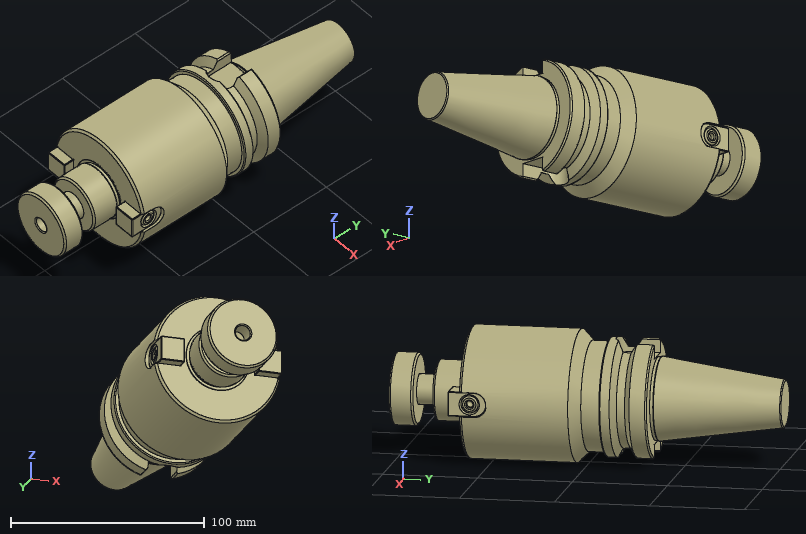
import cadquery as cq
import math


taper_end_radius = 12.7
taper_radius = 22.2
taper_at = 65.4
taper_relief_radius = 21.8
taper_relief_at = 65.8
taper_end_chamfer = 0.6

flange_radius = 31.5
flange_at = 67.5
flange_front_at = 92.5
groove_radius = 26.5
groove_at = 76.5
groove_floor_at = 79.8
groove_floor_end_at = 84.0
groove_end_at = 87.0
flange_chamfer = 0.8
flange_front_chamfer = 0.6

neck_radius = 29.0
neck_end_at = 102.4
body_radius = 35.0
body_at = 108.1
body_front_at = 165.5
body_chamfer = 1.2

pilot_radius = 16.0
pilot_front_at = 183.0
pilot_chamfer = 1.0
relief_radius = 15.5
relief_outer_radius = 17.3
relief_depth = 0.6
relief_length = 1.5

drive_slot_width = 15.8
drive_slot_floor = 22.6
drive_slot_end_at = 89.0
drive_slot_chamfer = 1.0

key_width = 13.0
key_inner = 20.1
key_outer = 33.0
key_back_at = 151.3
key_front_at = 171.6
key_chamfer = 0.5

key_screw_at = 160.3
key_screw_head_radius = 4.5
key_screw_head_chamfer = 1.0
key_screw_head_height = 5.0
key_screw_thread_radius = 2.5
key_screw_length = 10.0
key_screw_dimple_mouth_radius = 2.5
key_screw_dimple_radius = 1.8
key_screw_dimple_depth = 3.0
key_bore_mouth_radius = 5.3

arbor_screw_radius = 8.0
arbor_head_radius = 19.1
arbor_head_at = 192.8
arbor_head_front_at = 205.5
arbor_head_chamfer = 1.0
arbor_dimple_radius = 4.1
arbor_dimple_depth = 10.3
arbor_dimple_mouth_radius = 4.7

drill_tip_half_angle = math.radians(59)


def turned(profile):
    """Revolve (radius, distance from taper end) points about the tool axis."""
    points = [(radius, -at) for radius, at in profile]
    return cq.Workplane("XY").polyline(points).close().revolve(360, (0, 0), (0, 1))


def turned_across(profile):
    """Revolve (radius, X) points about the axis of the key screw on the +X side."""
    points = [(x, radius - key_screw_at) for radius, x in profile]
    return (
        cq.Workplane("XY").polyline(points).close()
        .revolve(360, (0, -key_screw_at), (1, -key_screw_at))
    )


def tip_depth(radius):
    """Depth of the drill cone that closes a hole of this radius."""
    return radius / math.tan(drill_tip_half_angle)


def holder_blank():
    return turned([
        (0, 0),
        (taper_end_radius - taper_end_chamfer, 0),
        (taper_end_radius, taper_end_chamfer),
        (taper_radius, taper_at),
        (taper_relief_radius, taper_relief_at),
        (taper_relief_radius, flange_at),
        (flange_radius - flange_chamfer, flange_at),
        (flange_radius, flange_at + flange_chamfer),
        (flange_radius, groove_at),
        (groove_radius, groove_floor_at),
        (groove_radius, groove_floor_end_at),
        (flange_radius, groove_end_at),
        (flange_radius, flange_front_at - flange_front_chamfer),
        (flange_radius - flange_front_chamfer, flange_front_at),
        (neck_radius, flange_front_at),
        (neck_radius, neck_end_at),
        (body_radius, body_at),
        (body_radius, body_front_at - body_chamfer),
        (body_radius - body_chamfer, body_front_at),
        (relief_outer_radius, body_front_at),
        (relief_outer_radius, body_front_at - relief_depth),
        (relief_radius, body_front_at - relief_depth),
        (relief_radius, body_front_at + relief_length),
        (pilot_radius, body_front_at + relief_length),
        (pilot_radius, pilot_front_at - pilot_chamfer),
        (pilot_radius - pilot_chamfer, pilot_front_at),
        (0, pilot_front_at),
    ])


def drive_slot():
    """Round-ended slot in the +Z side of the flange, with bevelled edges at the rear rim."""
    half_width = drive_slot_width / 2
    arc_center_at = drive_slot_end_at - half_width
    slot = (
        cq.Workplane("XY", origin=(0, 0, drive_slot_floor))
        .moveTo(-half_width, -flange_at)
        .lineTo(-half_width, -arc_center_at)
        .threePointArc((0, -drive_slot_end_at), (half_width, -arc_center_at))
        .lineTo(half_width, -flange_at)
        .close()
        .extrude(flange_radius - drive_slot_floor)
    )
    corner_z = math.sqrt(flange_radius**2 - half_width**2)
    bevel_bottom = corner_z - drive_slot_chamfer
    bevel_spread = half_width + flange_radius - bevel_bottom
    bevel = (
        cq.Workplane("XZ", origin=(0, -flange_at, 0))
        .polyline([
            (-half_width, bevel_bottom),
            (half_width, bevel_bottom),
            (bevel_spread, flange_radius),
            (-bevel_spread, flange_radius),
        ])
        .close()
        .extrude(groove_floor_at - flange_at)
    )
    return slot.union(bevel)


def key_block(front_at, outer):
    """Round-backed block on the +X side, from the key seat out to the given X."""
    half_width = key_width / 2
    arc_center_at = key_back_at + half_width
    return (
        cq.Workplane("YZ", origin=(key_inner, 0, 0))
        .moveTo(-front_at, -half_width)
        .lineTo(-arc_center_at, -half_width)
        .threePointArc((-key_back_at, 0), (-arc_center_at, half_width))
        .lineTo(-front_at, half_width)
        .close()
        .extrude(outer - key_inner)
    )


def key_screw():
    head_bottom = key_outer - key_screw_head_height
    mouth_depth = key_screw_dimple_mouth_radius - key_screw_dimple_radius
    dimple_floor = key_outer - key_screw_dimple_depth
    return turned_across([
        (0, head_bottom - key_screw_length),
        (key_screw_thread_radius, head_bottom - key_screw_length),
        (key_screw_thread_radius, head_bottom),
        (key_screw_head_radius, head_bottom),
        (key_screw_head_radius, key_outer - key_screw_head_chamfer),
        (key_screw_head_radius - key_screw_head_chamfer, key_outer),
        (key_screw_dimple_mouth_radius, key_outer),
        (key_screw_dimple_radius, key_outer - mouth_depth),
        (key_screw_dimple_radius, dimple_floor),
        (0, dimple_floor - tip_depth(key_screw_dimple_radius)),
    ])


def key_screw_hole():
    """Seat for the key screw: a bevelled bore for the head and a hole for the thread."""
    head_bottom = key_outer - key_screw_head_height
    mouth_depth = key_bore_mouth_radius - key_screw_head_radius
    return turned_across([
        (0, head_bottom - key_screw_length),
        (key_screw_thread_radius, head_bottom - key_screw_length),
        (key_screw_thread_radius, head_bottom),
        (key_screw_head_radius, head_bottom),
        (key_screw_head_radius, key_outer - mouth_depth),
        (key_bore_mouth_radius, key_outer),
        (0, key_outer),
    ])


def drive_key():
    key = key_block(key_front_at, key_outer)
    key = key.faces("<Y or >X or <X").edges().chamfer(key_chamfer)
    return key.cut(key_screw_hole())


def arbor_screw():
    mouth_depth = arbor_dimple_mouth_radius - arbor_dimple_radius
    dimple_floor_at = arbor_head_front_at - arbor_dimple_depth
    return turned([
        (0, body_front_at),
        (arbor_screw_radius, body_front_at),
        (arbor_screw_radius, arbor_head_at),
        (arbor_head_radius - arbor_head_chamfer, arbor_head_at),
        (arbor_head_radius, arbor_head_at + arbor_head_chamfer),
        (arbor_head_radius, arbor_head_front_at - arbor_head_chamfer),
        (arbor_head_radius - arbor_head_chamfer, arbor_head_front_at),
        (arbor_dimple_mouth_radius, arbor_head_front_at),
        (arbor_dimple_radius, arbor_head_front_at - mouth_depth),
        (arbor_dimple_radius, dimple_floor_at),
        (0, dimple_floor_at - tip_depth(arbor_dimple_radius)),
    ])


def arbor_screw_hole():
    return turned([
        (0, body_front_at),
        (arbor_screw_radius, body_front_at),
        (arbor_screw_radius, pilot_front_at),
        (0, pilot_front_at),
    ])


def on_side(body, turn):
    """Turn a body about the tool axis onto one of its two opposite sides."""
    return body.rotate((0, 0, 0), (0, 1, 0), turn)


opposite_sides = (0, 180)

holder = holder_blank().cut(arbor_screw_hole())
drive_keys = []
key_screws = []
for turn in opposite_sides:
    holder = holder.cut(on_side(drive_slot(), turn))
    holder = holder.cut(on_side(key_block(pilot_front_at, body_radius), turn))
    holder = holder.cut(on_side(key_screw_hole(), turn))
    drive_keys.append(on_side(drive_key(), turn).val())
    key_screws.append(on_side(key_screw(), turn).val())

result = cq.Compound.makeCompound([holder.val(), *drive_keys, *key_screws, arbor_screw().val()])